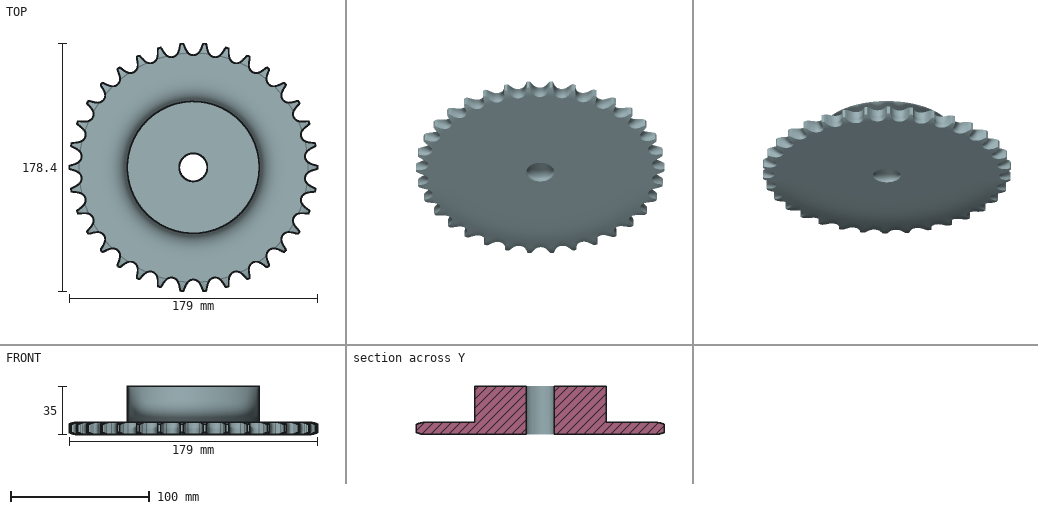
import cadquery as cq
import math

tooth_count = 34
tip_diameter = 179.0
pitch_diameter = 172.2
plate_thickness = 9.1
hub_diameter = 95.0
total_height = 35.0
bore_diameter = 20.0

relief_start_radius = 82.5
relief_arc_radius = 16.0

seat_radius = 5.2
seat_half_angle = 55 - 60 / tooth_count
working_arc_radius = 13.2
working_arc_angle = 18 - 56 / tooth_count
straight_flank_length = 1.41
topping_arc_radius = 8.2

tooth_angle = 360 / tooth_count
tip_radius = tip_diameter / 2
pitch_radius = pitch_diameter / 2
cut_radius = tip_radius + 0.9


def polar_offset(origin, distance, degrees):
    """Point at a given distance and direction from an origin."""
    angle = math.radians(degrees)
    return origin[0] + distance * math.cos(angle), origin[1] + distance * math.sin(angle)


def relief_depth(distance):
    """Depth of the side relief at a radial distance beyond its start."""
    return relief_arc_radius - math.sqrt(relief_arc_radius**2 - distance**2)


def plate_blank():
    """Disc whose rim tapers on both faces along arcs tangent to the flat faces."""
    taper_length = tip_radius - relief_start_radius
    mid_radius = relief_start_radius + taper_length / 2
    mid_depth = relief_depth(taper_length / 2)
    rim_depth = relief_depth(taper_length)
    return (
        cq.Workplane("XZ")
        .lineTo(relief_start_radius, 0)
        .threePointArc((mid_radius, mid_depth), (tip_radius, rim_depth))
        .lineTo(tip_radius, plate_thickness - rim_depth)
        .threePointArc(
            (mid_radius, plate_thickness - mid_depth),
            (relief_start_radius, plate_thickness),
        )
        .lineTo(0, plate_thickness)
        .close()
        .revolve(360, (0, 0, 0), (0, 1, 0))
    )


def tooth_gap():
    """Cutter for one gap centred on +X: seat, working arcs, straight flanks, topping arcs."""
    seat_center = (pitch_radius, 0)
    seat_bottom = (pitch_radius - seat_radius, 0)

    seat_end_direction = 180 - seat_half_angle
    flank_normal = seat_end_direction - working_arc_angle
    flank_direction = flank_normal - 90

    seat_end = polar_offset(seat_center, seat_radius, seat_end_direction)
    working_center = polar_offset(seat_end, -working_arc_radius, seat_end_direction)
    working_end = polar_offset(working_center, working_arc_radius, flank_normal)
    flank_end = polar_offset(working_end, straight_flank_length, flank_direction)

    topping_center = polar_offset(flank_end, topping_arc_radius, flank_normal)
    topping_run = cut_radius - topping_center[0]
    topping_rise = math.sqrt(topping_arc_radius**2 - topping_run**2)
    topping_end = (cut_radius, topping_center[1] - topping_rise)

    half_gap = (
        cq.Workplane("XY")
        .moveTo(*seat_bottom)
        .radiusArc(seat_end, seat_radius)
        .radiusArc(working_end, working_arc_radius)
        .lineTo(*flank_end)
        .radiusArc(topping_end, -topping_arc_radius)
        .lineTo(cut_radius, 0)
        .close()
        .extrude(plate_thickness)
    )
    return half_gap.union(half_gap.mirror("XZ"))


plate = plate_blank()
gap = tooth_gap()
for index in range(tooth_count):
    gap_angle = (index + 0.5) * tooth_angle
    plate = plate.cut(gap.rotate((0, 0, 0), (0, 0, 1), gap_angle))

hub = cq.Workplane("XY").circle(hub_diameter / 2).extrude(total_height)
bore = cq.Workplane("XY").circle(bore_diameter / 2).extrude(total_height)

result = plate.union(hub).cut(bore)